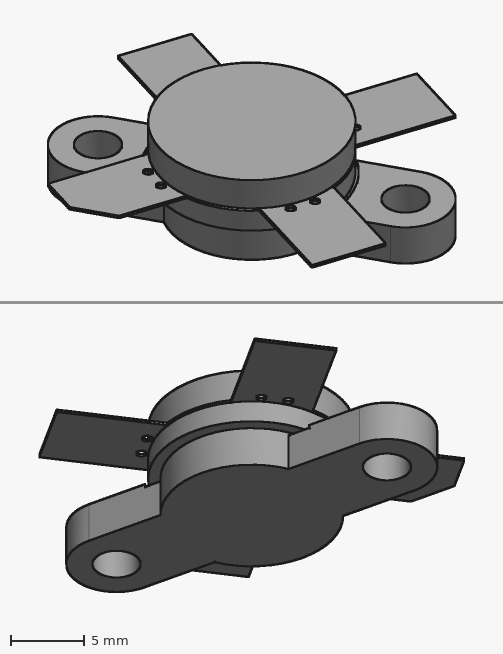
import cadquery as cq

flange_length = 28.9
flange_width = 6.88
flange_thickness = 3.0
mount_hole_diameter = 3.3
end_radius = flange_width / 2
mount_hole_x = flange_length / 2 - end_radius

recess_diameter = 15.03
recess_depth = 0.23
recess_center_x = -0.2

base_diameter = 12.5
case_diameter = 14.2
total_height = 7.2

lead_reach = 14.25
lead_width = 5.7
lead_thickness = 0.2
lead_bottom = 4.65
lead_top = lead_bottom + lead_thickness
lead_angles = (45, 135, 225, 315)
marked_lead_angle = 225
corner_cut = 2.5
lead_hole_diameter = 0.7
lead_hole_reach = 7.5
lead_hole_spacing = 1.88


def make_flange():
    """Flange with full-round ends, mounting holes and the shallow recess."""
    plate = cq.Workplane("XY").slot2D(flange_length, flange_width).extrude(flange_thickness)
    mount_holes = (
        cq.Workplane("XY")
        .pushPoints([(-mount_hole_x, 0), (mount_hole_x, 0)])
        .circle(mount_hole_diameter / 2)
        .extrude(flange_thickness)
    )
    recess = (
        cq.Workplane("XY", origin=(recess_center_x, 0, flange_thickness - recess_depth))
        .circle(recess_diameter / 2)
        .extrude(recess_depth)
    )
    return plate.cut(mount_holes).cut(recess)


def make_cylinder(diameter, bottom, top):
    """Upright cylinder on the Z axis."""
    return cq.Workplane("XY", origin=(0, 0, bottom)).circle(diameter / 2).extrude(top - bottom)


def make_lead(angle):
    """Lead running outward from the axis; the marked lead loses one outer corner."""
    lead = (
        cq.Workplane("XY", origin=(0, 0, lead_bottom))
        .rect(lead_reach, lead_width)
        .extrude(lead_thickness)
        .translate((lead_reach / 2, 0, 0))
    )
    holes = (
        cq.Workplane("XY", origin=(lead_hole_reach, 0, lead_bottom))
        .pushPoints([(0, -lead_hole_spacing / 2), (0, lead_hole_spacing / 2)])
        .circle(lead_hole_diameter / 2)
        .extrude(lead_thickness)
    )
    lead = lead.cut(holes)
    if angle == marked_lead_angle:
        lead = lead.edges("|Z and >X and >Y").chamfer(corner_cut)
    return lead.rotate((0, 0, 0), (0, 0, 1), angle)


base = make_cylinder(base_diameter, 0, flange_thickness)
case = make_cylinder(case_diameter, flange_thickness, lead_bottom)
cap = make_cylinder(case_diameter, lead_top, total_height)

result = make_flange().union(base).union(case)
for lead_angle in lead_angles:
    result = result.union(make_lead(lead_angle))
result = result.union(cap)